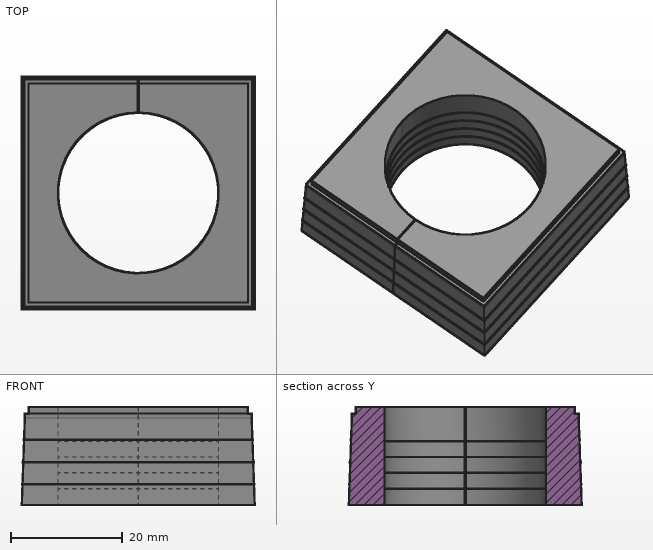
import cadquery as cq

HEIGHT = 17.7
BASE_WIDTH = 42.0
RIM_WIDTH = 40.9
RIM_HEIGHT = 0.75
PLATE_WIDTH = 39.5
PLATE_HEIGHT = 1.2
TAPER_HEIGHT = HEIGHT - PLATE_HEIGHT - RIM_HEIGHT

RIDGE_HEIGHT = 0.1
RIDGE_DEPTH = 0.1
OUTER_RIDGE_COUNT = 3
OUTER_RIDGE_PITCH = 4.0
FIRST_OUTER_RIDGE = 3.75
BORE_RIDGE_COUNT = 4
BORE_RIDGE_PITCH = 2.85
FIRST_BORE_RIDGE = 2.95

BORE_RADIUS = 14.5
SLIT_WIDTH = 0.1


def plane_at(height):
    return cq.Workplane("XY").workplane(offset=height)


def square_block(width, bottom, height):
    return plane_at(bottom).rect(width, width).extrude(height)


def body_width(height):
    """Width of the tapered body at a given height."""
    return BASE_WIDTH - (BASE_WIDTH - RIM_WIDTH) * height / TAPER_HEIGHT


def outer_block():
    block = (
        plane_at(0)
        .rect(BASE_WIDTH, BASE_WIDTH)
        .workplane(offset=TAPER_HEIGHT)
        .rect(RIM_WIDTH, RIM_WIDTH)
        .loft(ruled=True)
    )
    block = block.union(square_block(RIM_WIDTH, TAPER_HEIGHT, RIM_HEIGHT))
    return block.union(square_block(PLATE_WIDTH, HEIGHT - PLATE_HEIGHT, PLATE_HEIGHT))


def outer_ridge(middle):
    width = body_width(middle) + 2 * RIDGE_DEPTH
    return square_block(width, middle - RIDGE_HEIGHT / 2, RIDGE_HEIGHT)


def bore_ridge(middle):
    ring = plane_at(middle - RIDGE_HEIGHT / 2).circle(BORE_RADIUS + RIDGE_DEPTH)
    return ring.circle(BORE_RADIUS - RIDGE_DEPTH).extrude(RIDGE_HEIGHT)


def slit():
    """Cut from the bore out through the +Y side, over the full height."""
    length = BASE_WIDTH / 2
    return plane_at(0).center(0, length / 2).rect(SLIT_WIDTH, length).extrude(HEIGHT)


body = outer_block()
for index in range(OUTER_RIDGE_COUNT):
    body = body.union(outer_ridge(FIRST_OUTER_RIDGE + index * OUTER_RIDGE_PITCH))

body = body.cut(plane_at(0).circle(BORE_RADIUS).extrude(HEIGHT))
for index in range(BORE_RIDGE_COUNT):
    body = body.union(bore_ridge(FIRST_BORE_RIDGE + index * BORE_RIDGE_PITCH))

result = body.cut(slit())